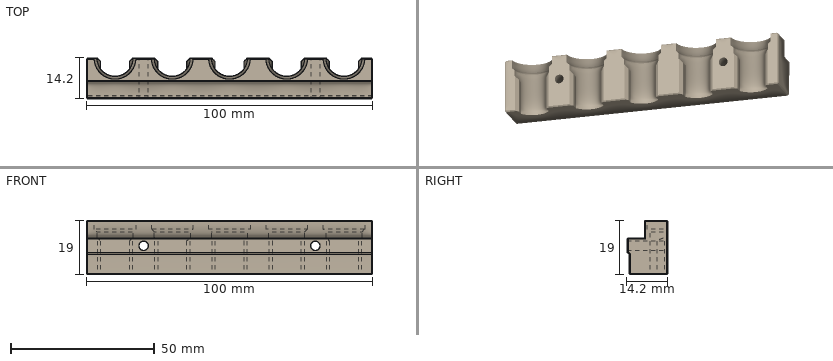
import cadquery as cq

LENGTH = 100.0
DEPTH = 14.2
HEIGHT = 19.0
EDGE_CHAMFER = 0.4

WALL_THICKNESS = 8.2
LIP_TOP = 12.9
LIP_BOTTOM = 7.8
LIP_OVERHANG = 0.7

SEAT_COUNT = 5
SEAT_PITCH = LENGTH / SEAT_COUNT
MOUTH_RADIUS = 7.3
MOUTH_DEPTH = 3.0
SEAT_RADIUS = 6.3

EAR_TOP = 13.0
EAR_GAP = 10.1
EAR_REACH = SEAT_RADIUS - EAR_GAP / 2
EAR_FLARE = 1.1

HOLE_DIAMETER = 3.2
HOLE_SPACING = 60.0
HOLE_HEIGHT = 10.1


def make_bar():
    """Extrude the stepped cross-section along X and chamfer its outer edges."""
    lower_face = LIP_OVERHANG - DEPTH
    profile = [
        (0, 0),
        (lower_face, 0),
        (lower_face, LIP_BOTTOM - LIP_OVERHANG),
        (-DEPTH, LIP_BOTTOM),
        (-DEPTH, LIP_TOP),
        (-WALL_THICKNESS, LIP_TOP),
        (-WALL_THICKNESS, HEIGHT),
        (0, HEIGHT),
    ]
    bar = cq.Workplane("YZ").polyline(profile).close().extrude(LENGTH / 2, both=True)
    square_corners = [
        (0, 0),
        (lower_face, 0),
        (-DEPTH, LIP_TOP),
        (-WALL_THICKNESS, HEIGHT),
        (0, HEIGHT),
    ]
    long_edges = cq.Workplane()
    for y, z in square_corners:
        long_edges = long_edges.add(bar.edges(cq.NearestToPointSelector((0, y, z))))
    bar = bar.newObject(long_edges.vals()).chamfer(EDGE_CHAMFER)
    return bar.faces("<X or >X").chamfer(EDGE_CHAMFER)


def make_seat():
    """Stepped round cutter: wide mouth, 45 degree step and narrower bore."""
    mouth_floor = HEIGHT - MOUTH_DEPTH
    step_height = MOUTH_RADIUS - SEAT_RADIUS
    half_section = [
        (0, 0),
        (SEAT_RADIUS, 0),
        (SEAT_RADIUS, mouth_floor - step_height),
        (MOUTH_RADIUS, mouth_floor),
        (MOUTH_RADIUS, HEIGHT),
        (0, HEIGHT),
    ]
    return cq.Workplane("XZ").polyline(half_section).close().revolve(360, (0, 0, 0), (0, 1, 0))


def make_passage():
    """Space left open by the two ears: slot, sloped ear tops and flared entry."""
    half_gap = EAR_GAP / 2
    slope_foot = EAR_TOP - EAR_REACH
    front_section = [
        (-half_gap, 0),
        (half_gap, 0),
        (half_gap, slope_foot),
        (SEAT_RADIUS, EAR_TOP),
        (MOUTH_RADIUS, EAR_TOP),
        (MOUTH_RADIUS, HEIGHT),
        (-MOUTH_RADIUS, HEIGHT),
        (-MOUTH_RADIUS, EAR_TOP),
        (-SEAT_RADIUS, EAR_TOP),
        (-half_gap, slope_foot),
    ]
    passage = cq.Workplane("XZ").polyline(front_section).close().extrude(MOUTH_RADIUS)
    flare_plan = [
        (-half_gap - EAR_FLARE, 0),
        (half_gap + EAR_FLARE, 0),
        (half_gap, -EAR_FLARE),
        (-half_gap, -EAR_FLARE),
    ]
    return passage.union(cq.Workplane("XY").polyline(flare_plan).close().extrude(HEIGHT))


def make_holes():
    """Two round cutters running from front to back."""
    return (
        cq.Workplane("XZ")
        .pushPoints([(-HOLE_SPACING / 2, HOLE_HEIGHT), (HOLE_SPACING / 2, HOLE_HEIGHT)])
        .circle(HOLE_DIAMETER / 2)
        .extrude(DEPTH)
    )


seat_cutter = make_seat().intersect(make_passage())
result = make_bar().cut(make_holes())
for index in range(SEAT_COUNT):
    seat_x = (index - (SEAT_COUNT - 1) / 2) * SEAT_PITCH
    result = result.cut(seat_cutter.translate((seat_x, 0, 0)))